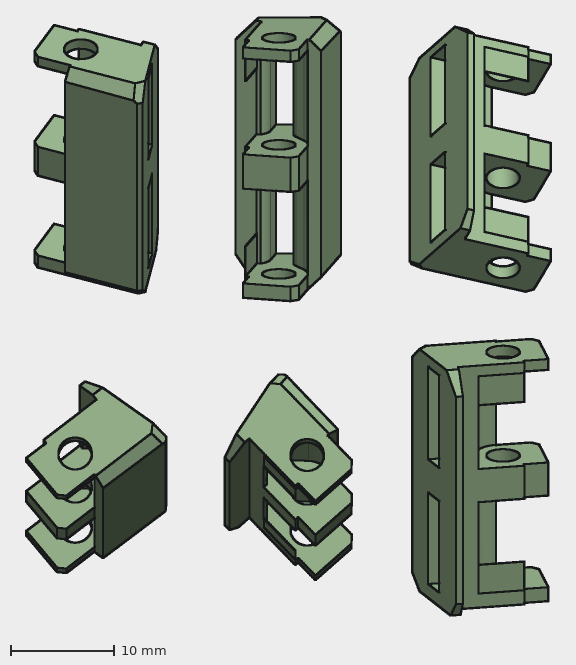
import cadquery as cq
import math

length_x = 12.21
depth_y = 9.85
height = 25.35

body_left = 4.1
front_rise = 0.08
corner_cut = 0.4
fin_left = 9.02
fin_tip_right = 9.7

plate_front = 1.45
plate_back = 6.87
step_back = 7.25
step_left = 2.45
plate_chamfer = 0.65
bottom_plate = 1.47
top_plate = 1.15
middle_bottom = 11.05
middle_top = 14.52
stop_height = 3.02
stop_thickness = 0.05
hinge_x = 3.98
hinge_y = 4.25
hole_radius = 1.62

bay_radius = 2.85
slot_front = 3.85
slot_back = 6.2
back_wall_left = 6.97
mouth_radius = 1.88

top_front_depth = 1.25
bottom_front_depth = 1.47
fin_top_chamfer = 2.03
fin_bottom_depth = 1.15
fin_bottom_height = 1.62
corner_bevel = 1.42

margin = 0.25


def full_outline():
    """Solid holding the plates and the body before the bays are opened."""
    points = [
        (0, plate_front + plate_chamfer),
        (plate_chamfer, plate_front),
        (body_left, plate_front),
        (body_left, front_rise),
        (length_x - corner_cut, 0),
        (length_x, corner_cut),
        (fin_tip_right, depth_y),
        (fin_left, depth_y),
        (fin_left, step_back),
        (step_left, step_back),
        (step_left, plate_back),
        (0, plate_back),
    ]
    return cq.Workplane("XY").polyline(points).close().extrude(height)


def bay(bottom, top):
    """Hinge clearance that narrows through 45-degree ramps into a slot along X."""
    cos_45 = math.cos(math.radians(45))
    cos_half = math.cos(math.radians(22.5))
    sin_half = math.sin(math.radians(22.5))

    ramp_start = (hinge_x + bay_radius * cos_45, hinge_y - bay_radius * cos_45)
    ramp_end_y = slot_front - mouth_radius * (1 - cos_45)
    ramp_end_x = ramp_start[0] + ramp_end_y - ramp_start[1]
    mouth_x = ramp_end_x + mouth_radius * cos_45
    arc_start_y = hinge_y - math.sqrt(bay_radius**2 - (body_left - hinge_x) ** 2)
    arc_middle = (hinge_x + bay_radius * sin_half, hinge_y - bay_radius * cos_half)
    mouth_middle_x = mouth_x - mouth_radius * sin_half
    mouth_middle_dy = mouth_radius * (1 - cos_half)

    back_ramp_y = slot_back + slot_front - ramp_end_y
    back_wall_y = back_ramp_y + ramp_end_x - back_wall_left
    return (
        cq.Workplane("XY")
        .workplane(offset=bottom)
        .moveTo(-margin, plate_front - margin)
        .lineTo(body_left, plate_front - margin)
        .lineTo(body_left, arc_start_y)
        .threePointArc(arc_middle, ramp_start)
        .lineTo(ramp_end_x, ramp_end_y)
        .threePointArc((mouth_middle_x, slot_front - mouth_middle_dy), (mouth_x, slot_front))
        .lineTo(length_x + margin, slot_front)
        .lineTo(length_x + margin, slot_back)
        .lineTo(mouth_x, slot_back)
        .threePointArc((mouth_middle_x, slot_back + mouth_middle_dy), (ramp_end_x, back_ramp_y))
        .lineTo(back_wall_left, back_wall_y)
        .lineTo(back_wall_left, step_back + margin)
        .lineTo(-margin, step_back + margin)
        .close()
        .extrude(top - bottom)
    )


def stop_tab(bottom):
    """Thin wall along the back edge of an end plate."""
    size_x = back_wall_left - step_left
    return cq.Workplane("XY").box(size_x, stop_thickness, stop_height, centered=False).translate(
        (step_left, step_back - stop_thickness, bottom)
    )


def side_envelope():
    """Side profile that bevels the front edges and the ends of the fin."""
    points = [
        (bottom_front_depth, 0),
        (depth_y - fin_bottom_depth, 0),
        (depth_y, fin_bottom_height),
        (depth_y, height - fin_top_chamfer),
        (depth_y - fin_top_chamfer, height),
        (top_front_depth, height),
        (0, height - top_plate),
        (0, bottom_plate),
    ]
    return cq.Workplane("YZ").polyline(points).close().extrude(length_x)


def corner_envelope():
    """Profile facing the vertical corner cut, beveling its top and bottom."""
    corner_plane = cq.Plane(origin=(length_x, corner_cut, 0), xDir=(1, -1, 0), normal=(-1, -1, 0))
    far = length_x + depth_y
    points = [
        (-far, 0),
        (-corner_bevel, 0),
        (0, corner_bevel),
        (0, height - corner_bevel),
        (-corner_bevel, height),
        (-far, height),
    ]
    return cq.Workplane(corner_plane).polyline(points).close().extrude(far, both=True)


result = full_outline()
for bay_bottom, bay_top in ((bottom_plate, middle_bottom), (middle_top, height - top_plate)):
    result = result.cut(bay(bay_bottom, bay_top))

for tab_bottom in (bottom_plate, height - top_plate - stop_height):
    result = result.union(stop_tab(tab_bottom))

result = result.intersect(side_envelope()).intersect(corner_envelope())

hinge_bore = cq.Workplane("XY").center(hinge_x, hinge_y).circle(hole_radius).extrude(height)
result = result.cut(hinge_bore)